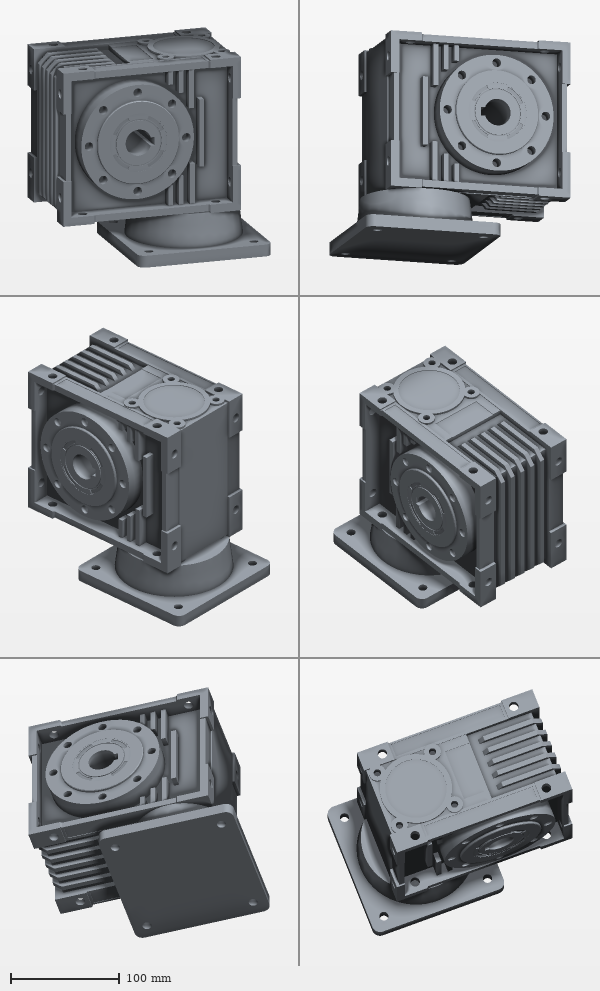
import cadquery as cq
import math

centre_distance = 63.0

housing_y = 14.8
housing_z = -1.8
housing_length = 173.5
housing_height = 147.5
frame_outer_x = 52.0
frame_inner_x = 33.5
frame_wall = 8.0
pocket_floor_x = 34.5

housing_front = housing_y - housing_length / 2
housing_rear = housing_y + housing_length / 2
housing_top = housing_z + housing_height / 2
housing_bottom = housing_z - housing_height / 2
pocket_top = housing_top - frame_wall
pocket_bottom = housing_bottom + frame_wall

relief_half_height = 32.5
relief_front_y = -41.5
relief_rear_y = 71.5
end_relief = 3.0
top_relief = 1.5
side_relief = 1.5
panel_margin = 2.5
panel_width = 12.5
panel_depth = 0.5

mount_spacing_x = 85.0
mount_x = mount_spacing_x / 2
mount_radius = 4.5
mount_half_spacing = 50.0
mount_front_y = -50.0
mount_rear_y = 80.0

rib_width = 4.5
rib_height = 9.5
ribs = [
    (65.8, -relief_half_height, relief_half_height),
    (55.8, 24.8, pocket_top),
    (45.8, 40.5, pocket_top),
    (35.5, 49.2, pocket_top),
    (56.8, pocket_bottom, -28.5),
    (45.8, pocket_bottom, -39.5),
    (35.5, pocket_bottom, -48.5),
]

core_front = -64.0
core_rear = 99.5
core_step_y = 0.5
core_half_height = 71.5
core_step_depth = 5.0
fin_start_y = -8.2
fin_front = -70.8
fin_bevel = 9.2
fin_width = 4.5
fin_count = 5
fin_span = 47.5
fin_pitch = fin_span / (fin_count - 1)
nameplate_width = 49.2
nameplate_length = 24.2
nameplate_depth = 0.5

cover_diameter = 67.0
cover_dish_radius = 28.5
cover_dish_depth = 0.5
lug_circle_diameter = 77.8
lug_circle_radius = lug_circle_diameter / 2
lug_count = 4
lug_radius = 7.8
lug_hole_radius = 3.5
lug_hole_depth = 8.0
lug_turn = 46.0

flange_radius = 55.0
flange_x = 53.5
boss_radius = 40.0
boss_x = 56.2
boss_chamfer = 0.5
bolt_count = 8
bolt_circle_diameter = 95.0
bolt_diameter = 8.2
bolt_depth = 12.0
seal_radius = 28.0
seal_depth = 0.2
shaft_radius = 21.5
shaft_gap_radius = 22.5
shaft_gap_depth = 1.0
seal_slot_radius = 26.8
seal_slot_inner_radius = 23.5
seal_slot_angle = 46.0
seal_slot_count = 4
seal_slot_turn = 45.0
bore_radius = 12.5
keyway_width = 8.0
keyway_top = 15.8

adapter_top_radius = 51.0
adapter_base_radius = 55.0
plate_size = 130.0
plate_thickness = 11.5
plate_bottom = -118.5
plate_corner_radius = 7.5
plate_hole_radius = 4.2
plate_hole_spacing = 102.5


def box(x0, x1, y0, y1, z0, z1):
    """Box given by its limits along each axis."""
    return cq.Workplane("XY").box(x1 - x0, y1 - y0, z1 - z0, centered=False).translate((x0, y0, z0))


def disc_x(radius, x0, x1):
    """Cylinder about the output axis."""
    return cq.Workplane("YZ").workplane(offset=x0).circle(radius).extrude(x1 - x0)


def both_sides(shape):
    """The shape together with its mirror image on the -X side."""
    return shape.union(shape.mirror("YZ"))


def flip_vertical(shape):
    """Mirror image about the horizontal mid-plane of the housing."""
    return shape.mirror("XY", (0, 0, housing_z))


def make_frame():
    """The +X side frame with its pocket, reliefs, panels, holes and ribs."""
    frame = box(frame_inner_x, frame_outer_x, housing_front, housing_rear, housing_bottom, housing_top)
    pocket = box(pocket_floor_x, frame_outer_x, housing_front + frame_wall, housing_rear - frame_wall,
                 pocket_bottom, pocket_top)
    frame = frame.cut(pocket)

    for face_y in (housing_front, housing_rear):
        frame = frame.cut(box(frame_inner_x, frame_outer_x, face_y - end_relief, face_y + end_relief,
                              -relief_half_height, relief_half_height))
    frame = frame.cut(box(frame_outer_x - side_relief, frame_outer_x, housing_front, housing_rear,
                          -relief_half_height, relief_half_height))

    bevelled = (cq.Workplane("XY").workplane(offset=housing_bottom)
                .moveTo(frame_outer_x, relief_front_y)
                .lineTo(frame_outer_x, relief_rear_y)
                .lineTo(frame_outer_x - side_relief, relief_rear_y - side_relief)
                .lineTo(frame_outer_x - side_relief, relief_front_y + side_relief)
                .close().extrude(housing_height))
    frame = frame.cut(bevelled)
    relief = box(frame_inner_x, frame_outer_x, relief_front_y, relief_rear_y,
                 housing_top - top_relief, housing_top)
    panel = box(mount_x - panel_width / 2, mount_x + panel_width / 2,
                relief_front_y + panel_margin, relief_rear_y - panel_margin,
                housing_top - top_relief - panel_depth, housing_top)
    relief = relief.union(panel)
    frame = frame.cut(relief).cut(flip_vertical(relief))

    end_holes = (cq.Workplane("XZ", origin=(0, housing_rear, 0))
                 .pushPoints([(mount_x, -mount_half_spacing), (mount_x, mount_half_spacing)])
                 .circle(mount_radius).extrude(housing_length))
    level_holes = (cq.Workplane("XY", origin=(0, 0, housing_bottom))
                   .pushPoints([(mount_x, mount_front_y), (mount_x, mount_rear_y)])
                   .circle(mount_radius).extrude(housing_height))
    frame = frame.cut(end_holes).cut(level_holes)

    for rib_y, z0, z1 in ribs:
        frame = frame.union(box(frame_inner_x, pocket_floor_x + rib_height,
                                rib_y - rib_width / 2, rib_y + rib_width / 2, z0, z1))
    return frame


def make_core():
    """Block between the frames, stepped down under the fins, with the sunken nameplate."""
    top = housing_z + core_half_height
    bottom = housing_z - core_half_height
    core = box(-frame_inner_x, frame_inner_x, core_front, core_rear, bottom, top)
    step = box(-frame_inner_x, frame_inner_x, core_front, core_step_y, top - core_step_depth, top)
    nameplate = box(-nameplate_width / 2, nameplate_width / 2, core_step_y,
                    core_step_y + nameplate_length, top - nameplate_depth, top)
    core = core.cut(step).cut(flip_vertical(step)).cut(nameplate)

    lower_half = core_half_height - core_step_depth
    profile_half = [
        (fin_start_y, lower_half),
        (fin_start_y - core_step_depth, core_half_height),
        (fin_front + fin_bevel, core_half_height),
        (fin_front, core_half_height - fin_bevel),
    ]
    profile = profile_half + [(y, -z) for y, z in reversed(profile_half)]
    for index in range(fin_count):
        fin_x = index * fin_pitch - fin_span / 2
        fin = (cq.Workplane("YZ", origin=(fin_x - fin_width / 2, 0, housing_z))
               .polyline(profile).close().extrude(fin_width))
        core = core.union(fin)
    return core


def make_cover():
    """Upper worm bearing cover with lugs, and the dish and lug holes to cut from it."""
    base_z = housing_z + core_half_height
    height = housing_top - base_z
    lug_points = []
    for index in range(lug_count):
        angle = math.radians(lug_turn + 360 / lug_count * index)
        lug_points.append((lug_circle_radius * math.cos(angle), lug_circle_radius * math.sin(angle)))
    plane = cq.Workplane("XY", origin=(0, centre_distance, base_z))
    cover = plane.circle(cover_diameter / 2).extrude(height)
    cover = cover.union(plane.pushPoints(lug_points).circle(lug_radius).extrude(height))
    top_plane = cq.Workplane("XY", origin=(0, centre_distance, housing_top))
    dish = top_plane.circle(cover_dish_radius).extrude(-cover_dish_depth)
    holes = top_plane.pushPoints(lug_points).circle(lug_hole_radius).extrude(-lug_hole_depth)
    return cover, dish.union(holes)


def make_flange():
    """The +X output flange with its boss, bolt holes and shaft seal."""
    flange = disc_x(flange_radius, frame_inner_x, flange_x)
    boss = disc_x(boss_radius, frame_inner_x, boss_x).faces(">X").chamfer(boss_chamfer)
    flange = flange.union(boss)
    bolts = (cq.Workplane("YZ", origin=(flange_x, 0, 0))
             .polarArray(bolt_circle_diameter / 2, 0, 360, bolt_count)
             .circle(bolt_diameter / 2).extrude(-bolt_depth))
    seal = disc_x(seal_radius, boss_x - seal_depth, boss_x).cut(disc_x(shaft_radius, 0, boss_x))
    gap_start = boss_x - shaft_gap_depth
    gap = disc_x(shaft_gap_radius, gap_start, boss_x).cut(disc_x(shaft_radius, 0, boss_x))
    flange = flange.cut(bolts).cut(seal).cut(gap)

    slot_ring = disc_x(seal_slot_radius, gap_start, boss_x)
    slot_ring = slot_ring.cut(disc_x(seal_slot_inner_radius, gap_start, boss_x))
    half_angle = math.radians(seal_slot_angle / 2)
    wedge_y = 2 * seal_slot_radius
    wedge_z = wedge_y * math.tan(half_angle)
    for index in range(seal_slot_count):
        turn = seal_slot_turn + 360 / seal_slot_count * index
        wedge = (cq.Workplane("YZ").polyline([(0, 0), (wedge_y, -wedge_z), (wedge_y, wedge_z)])
                 .close().extrude(boss_x)
                 .rotate((0, 0, 0), (1, 0, 0), turn))
        flange = flange.cut(slot_ring.intersect(wedge))
    return flange


def make_adapter():
    """Conical neck and square motor plate below the housing."""
    plate_top = plate_bottom + plate_thickness
    plate = (cq.Workplane("XY", origin=(0, centre_distance, plate_bottom))
             .rect(plate_size, plate_size).extrude(plate_thickness)
             .edges("|Z").fillet(plate_corner_radius))
    holes = (cq.Workplane("XY", origin=(0, centre_distance, plate_bottom))
             .rect(plate_hole_spacing, plate_hole_spacing, forConstruction=True).vertices()
             .circle(plate_hole_radius).extrude(plate_thickness))
    neck = (cq.Workplane("XY", origin=(0, centre_distance, plate_top)).circle(adapter_base_radius)
            .workplane(offset=housing_bottom - plate_top).circle(adapter_top_radius).loft())
    return plate.cut(holes).union(neck)


def make_bore():
    """Keyed bore through the hollow output shaft."""
    keyway = box(-boss_x, boss_x, 0, keyway_top, -keyway_width / 2, keyway_width / 2)
    return disc_x(bore_radius, -boss_x, boss_x).union(keyway)


cover, cover_cuts = make_cover()
result = make_core()
result = result.union(both_sides(make_frame()))
result = result.union(cover).union(flip_vertical(cover)).cut(cover_cuts)
result = result.union(both_sides(make_flange()))
result = result.union(make_adapter())
result = result.cut(make_bore())